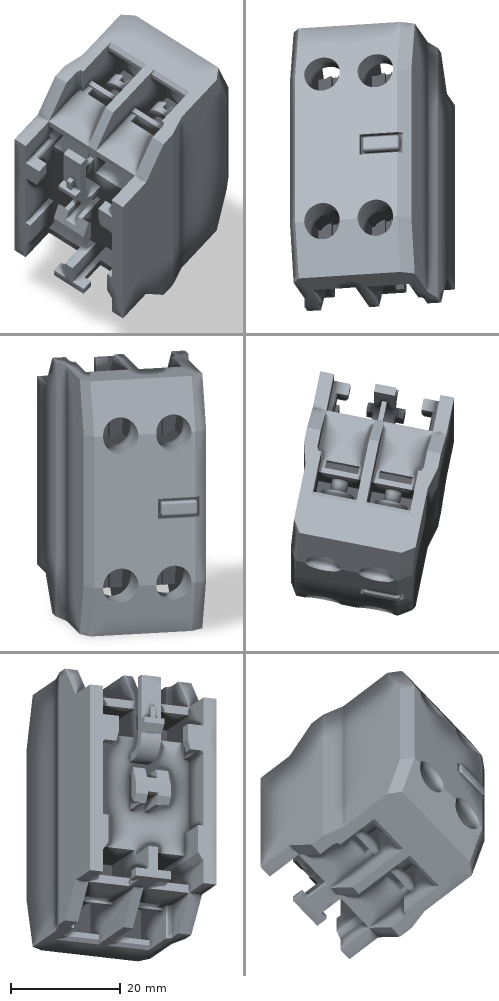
import cadquery as cq


WIDTH = 25.0
HEIGHT = 48.0
HALF_WIDTH = WIDTH / 2
HALF_HEIGHT = HEIGHT / 2
DEPTH = 34.95
BACK_HALF_WIDTH = 11.4
TAPER_START = 15.0
TAPER_END = 19.05
MOUNT_HALF_HEIGHT = 17.7
MOUNT_DEPTH = 6.95
SHOULDER_DEPTH = 12.2
BACK_SLOPE_DEPTH = 31.9
BACK_FLAT_HALF_HEIGHT = 14.2
LEFT_BEVEL_X = -9.05
LEFT_BEVEL_SLOPE = 3.2 / 4.9
RIGHT_BEVEL_X = 10.0
RIGHT_BEVEL_SLOPE = 4.9 / 3.0

INNER_HALF_WIDTH = 9.95
CHAMBER_HALF_WIDTH = 9.05
RIB_HALF_WIDTH = 0.9
SIDE_STEP_DEPTH = 16.15
SIDE_STEP_X = 9.6
SIDE_SLANT_DEPTH = 15.3
FLOOR_THICKNESS = 1.55
ROOM_BOTTOM = 10.75
PLATE_FRONT = 17.7
PLATE_BACK = 18.65
PLATE_TOP = 18.25
LIP_DEPTH = 23.65
LIP_BOTTOM = 22.3
LIP_SLOPE_BOTTOM = 23.35
LIP_SLOPE_DEPTH = 24.45
CHAMBER_DEPTH = 28.2
TERMINAL_X = (RIB_HALF_WIDTH + CHAMBER_HALF_WIDTH) / 2
TERMINAL_Z = 14.1
ACCESS_HOLE_RADIUS = 3.3

SCREW_HEAD_RADIUS = 3.05
SCREW_HEAD_HEIGHT = 2.45
SCREW_SHANK_RADIUS = 1.55
SCREW_SLOT_WIDTH = 1.2
SCREW_SLOT_DEPTH = 1.25

GUIDE_X = 8.9
GUIDE_INNER_Z = 11.9
GUIDE_SLOPE_END_Z = 13.45
LOWER_GUIDE_END_Z = 6.7
CLAW_TOP = 12.35
CLAW_BOTTOM = 7.55
CLAW_SLANT_Z = 9.35
CLAW_TIP_X = 6.8
CLAW_BOTTOM_X = 7.35
CLAW_CORNER = 0.4
HOOK_DEPTH = 2.2
STEM_HALF_WIDTH = 1.95
HEAD_HALF_WIDTH = 3.45

FOOT_RIB_TOP = -11.8

LEVER_FRONT = 1.0
LEVER_THICKNESS = 1.55
LEVER_TOP = 21.0
LEVER_BEND_RADIUS = 3.9
LEVER_BEND_Z = 9.75
LEDGE_FRONT = -0.55
LEDGE_TOP = 12.6
LEDGE_EDGE = 11.55
FIN_HALF_WIDTH = 0.455
FIN_TOP = 14.9
FIN_BOTTOM = 12.35

CARRIER_HALF_HEIGHT = 3.3
HEAD_FLAT_TOP = 0.4
HEAD_FLAT_BOTTOM = -1.95
HEAD_RIDGE_DEPTH = 1.35
HEAD_LOWER_RIDGE_DEPTH = 0.95
HEAD_BACK_HALF_HEIGHT = 2.15
NOTCH_HALF_WIDTH = 1.05
NOTCH_HALF_HEIGHT = 1.45
INDICATOR_LEFT = -9.4
INDICATOR_RIGHT = -2.6
INDICATOR_HALF_HEIGHT = 1.35
INDICATOR_TOP = 35.4
INDICATOR_ROUND = 0.5
WINDOW_GAP = 0.6
WINDOW_FLOOR = 33.6
ARM_FRONT = 30.7


def box(x0, x1, y0, y1, z0, z1):
    """Block between the given limits."""
    return cq.Workplane("XY").box(x1 - x0, y1 - y0, z1 - z0, centered=False).translate((x0, y0, z0))


def prism_x(points, x0, x1):
    """(Y, Z) outline extruded from x0 to x1."""
    return cq.Workplane("YZ").workplane(offset=x0).polyline(points).close().extrude(x1 - x0)


def prism_y(points, y0, y1):
    """(X, Z) outline extruded from y0 to y1."""
    return cq.Workplane("XZ").workplane(offset=-y0).polyline(points).close().extrude(y0 - y1)


def prism_z(points, z0, z1):
    """(X, Y) outline extruded from z0 to z1."""
    return cq.Workplane("XY").workplane(offset=z0).polyline(points).close().extrude(z1 - z0)


def cylinder_y(radius, y0, y1, x, z):
    """Cylinder along Y from y0 to y1."""
    return cq.Workplane("XZ", origin=(x, y0, z)).circle(radius).extrude(y0 - y1)


def left_and_right(shape):
    """The shape together with its mirror image in X."""
    return shape.union(shape.mirror("YZ"))


def four_fold(shape):
    """The shape at all four terminals."""
    both_sides = left_and_right(shape)
    return both_sides.union(both_sides.mirror("XY"))


def side_profile(drop):
    """(Y, Z) outline of the housing with its back moved forward by drop."""
    upper = [
        (0, MOUNT_HALF_HEIGHT),
        (MOUNT_DEPTH, MOUNT_HALF_HEIGHT),
        (SHOULDER_DEPTH, HALF_HEIGHT),
        (BACK_SLOPE_DEPTH - drop, HALF_HEIGHT),
        (DEPTH - drop, BACK_FLAT_HALF_HEIGHT),
    ]
    lower = [(y, -z) for y, z in reversed(upper)]
    return upper + lower


def bevelled_end(bevel_x, end_x, slope):
    """Outer part of the housing, where the back falls away from bevel_x to end_x."""
    reach = end_x - bevel_x
    return (
        cq.Workplane("YZ").workplane(offset=bevel_x).polyline(side_profile(0)).close()
        .workplane(offset=reach).polyline(side_profile(abs(reach) * slope)).close()
        .loft(ruled=True)
    )


def housing_blank():
    middle = prism_x(side_profile(0), LEFT_BEVEL_X, RIGHT_BEVEL_X)
    left_end = bevelled_end(LEFT_BEVEL_X, -HALF_WIDTH, LEFT_BEVEL_SLOPE)
    right_end = bevelled_end(RIGHT_BEVEL_X, HALF_WIDTH, RIGHT_BEVEL_SLOPE)
    right_plan = [
        (HALF_WIDTH, 0),
        (HALF_WIDTH, TAPER_START),
        (BACK_HALF_WIDTH, TAPER_END),
        (BACK_HALF_WIDTH, DEPTH),
    ]
    left_plan = [(-x, y) for x, y in reversed(right_plan)]
    plan = prism_z(right_plan + left_plan, -HALF_HEIGHT, HALF_HEIGHT)
    return middle.union(left_end).union(right_end).intersect(plan)


def mounting_channel():
    return box(-INNER_HALF_WIDTH, INNER_HALF_WIDTH, 0, MOUNT_DEPTH, -HALF_HEIGHT, HALF_HEIGHT)


def terminal_cavity():
    """Everything hollow at the upper right terminal."""
    screw_chamber = prism_x(
        [
            (0, HALF_HEIGHT),
            (0, MOUNT_HALF_HEIGHT),
            (PLATE_FRONT, MOUNT_HALF_HEIGHT),
            (PLATE_FRONT, PLATE_TOP),
            (PLATE_BACK, PLATE_TOP),
            (PLATE_BACK, ROOM_BOTTOM),
            (CHAMBER_DEPTH, ROOM_BOTTOM),
            (CHAMBER_DEPTH, LIP_BOTTOM),
            (LIP_DEPTH, LIP_BOTTOM),
            (LIP_DEPTH, LIP_SLOPE_BOTTOM),
            (LIP_SLOPE_DEPTH, HALF_HEIGHT),
        ],
        RIB_HALF_WIDTH,
        CHAMBER_HALF_WIDTH,
    )
    wide_mouth = prism_z(
        [
            (RIB_HALF_WIDTH, 0),
            (INNER_HALF_WIDTH, 0),
            (INNER_HALF_WIDTH, SIDE_SLANT_DEPTH),
            (SIDE_STEP_X, SIDE_STEP_DEPTH),
            (RIB_HALF_WIDTH, SIDE_STEP_DEPTH),
        ],
        MOUNT_HALF_HEIGHT,
        HALF_HEIGHT,
    )
    room_top = MOUNT_HALF_HEIGHT - FLOOR_THICKNESS
    wire_room = box(RIB_HALF_WIDTH, INNER_HALF_WIDTH, MOUNT_DEPTH, PLATE_FRONT, ROOM_BOTTOM, room_top)
    floor_slot = box(
        TERMINAL_X - SCREW_HEAD_RADIUS, TERMINAL_X + SCREW_HEAD_RADIUS,
        SIDE_STEP_DEPTH, PLATE_FRONT, ROOM_BOTTOM, MOUNT_HALF_HEIGHT,
    )
    access_hole = cylinder_y(ACCESS_HOLE_RADIUS, CHAMBER_DEPTH, DEPTH, TERMINAL_X, TERMINAL_Z)
    return screw_chamber.union(wide_mouth).union(wire_room).union(floor_slot).union(access_hole)


def side_guides():
    """Guide ribs and snap claws on the inside of both side walls."""
    upper_rib = prism_y(
        [
            (INNER_HALF_WIDTH, GUIDE_SLOPE_END_Z),
            (GUIDE_X, GUIDE_INNER_Z),
            (GUIDE_X, CLAW_BOTTOM),
            (INNER_HALF_WIDTH - CLAW_CORNER, CLAW_BOTTOM),
            (INNER_HALF_WIDTH, CLAW_BOTTOM - CLAW_CORNER),
        ],
        0,
        PLATE_FRONT,
    ).cut(box(0, INNER_HALF_WIDTH, 0, MOUNT_DEPTH, CLAW_TOP, HALF_HEIGHT))
    lower_rib = prism_y(
        [
            (INNER_HALF_WIDTH, -LOWER_GUIDE_END_Z),
            (GUIDE_X, -LOWER_GUIDE_END_Z),
            (GUIDE_X, -GUIDE_INNER_Z),
            (INNER_HALF_WIDTH, -GUIDE_SLOPE_END_Z),
        ],
        0,
        PLATE_FRONT,
    )
    claw = prism_y(
        [
            (INNER_HALF_WIDTH, CLAW_TOP),
            (CLAW_TIP_X, CLAW_TOP),
            (CLAW_TIP_X, CLAW_SLANT_Z),
            (CLAW_BOTTOM_X, CLAW_BOTTOM),
            (INNER_HALF_WIDTH, CLAW_BOTTOM),
        ],
        0,
        HOOK_DEPTH,
    )
    return left_and_right(upper_rib.union(lower_rib).union(claw))


def foot():
    """T-shaped foot below the mounting channel, with its upright rib."""
    foot_bottom = -MOUNT_HALF_HEIGHT
    foot_top = foot_bottom + FLOOR_THICKNESS
    head = box(-HEAD_HALF_WIDTH, HEAD_HALF_WIDTH, 0, HOOK_DEPTH, foot_bottom, foot_top)
    neck = box(-STEM_HALF_WIDTH, STEM_HALF_WIDTH, 0, MOUNT_DEPTH, foot_bottom, foot_top)
    rib = box(-RIB_HALF_WIDTH, RIB_HALF_WIDTH, 0, MOUNT_DEPTH, foot_top, FOOT_RIB_TOP)
    return head.union(neck).union(rib)


def spring_lever():
    """Release lever, bent round below into a spring arm that grows out of the housing."""
    lever_back = LEVER_FRONT + LEVER_THICKNESS
    bend_y = LEVER_FRONT + LEVER_BEND_RADIUS
    arm_bottom = LEVER_BEND_Z - LEVER_BEND_RADIUS
    strip = (
        cq.Workplane("YZ").workplane(offset=-STEM_HALF_WIDTH)
        .moveTo(LEVER_FRONT, LEVER_TOP)
        .lineTo(LEVER_FRONT, LEVER_BEND_Z)
        .radiusArc((bend_y, arm_bottom), -LEVER_BEND_RADIUS)
        .lineTo(MOUNT_DEPTH, arm_bottom)
        .lineTo(MOUNT_DEPTH, arm_bottom + LEVER_THICKNESS)
        .lineTo(bend_y, arm_bottom + LEVER_THICKNESS)
        .radiusArc((lever_back, LEVER_BEND_Z), LEVER_BEND_RADIUS - LEVER_THICKNESS)
        .lineTo(lever_back, LEVER_TOP)
        .close()
        .extrude(2 * STEM_HALF_WIDTH)
    )
    ledge_overhang = LEVER_FRONT - LEDGE_FRONT
    ledge = prism_x(
        [
            (LEVER_FRONT, LEDGE_TOP),
            (LEDGE_FRONT, LEDGE_TOP),
            (LEDGE_FRONT, LEDGE_EDGE),
            (LEVER_FRONT, LEDGE_EDGE - ledge_overhang),
        ],
        -STEM_HALF_WIDTH,
        STEM_HALF_WIDTH,
    )
    front_fin = box(-FIN_HALF_WIDTH, FIN_HALF_WIDTH, 0, LEVER_FRONT, LEDGE_TOP, FIN_TOP)
    back_fin = box(-FIN_HALF_WIDTH, FIN_HALF_WIDTH, lever_back, MOUNT_DEPTH, FIN_BOTTOM, FIN_TOP)
    return strip.union(ledge).union(front_fin).union(back_fin)


def indicator_window():
    half_height = INDICATOR_HALF_HEIGHT + WINDOW_GAP
    return box(
        INDICATOR_LEFT - WINDOW_GAP, INDICATOR_RIGHT + WINDOW_GAP,
        WINDOW_FLOOR, DEPTH, -half_height, half_height,
    )


def make_carrier():
    """Sliding carrier: coupling head in front, stem through the housing, indicator at the back."""
    head = prism_x(
        [
            (0, HEAD_FLAT_TOP),
            (HEAD_RIDGE_DEPTH, CARRIER_HALF_HEIGHT),
            (HOOK_DEPTH, HEAD_BACK_HALF_HEIGHT),
            (HOOK_DEPTH, -HEAD_BACK_HALF_HEIGHT),
            (HEAD_LOWER_RIDGE_DEPTH, -CARRIER_HALF_HEIGHT),
            (0, HEAD_FLAT_BOTTOM),
        ],
        -HEAD_HALF_WIDTH,
        HEAD_HALF_WIDTH,
    )
    flanges = box(
        -STEM_HALF_WIDTH, STEM_HALF_WIDTH,
        HEAD_RIDGE_DEPTH, MOUNT_DEPTH, -CARRIER_HALF_HEIGHT, CARRIER_HALF_HEIGHT,
    )
    notch = box(
        -NOTCH_HALF_WIDTH, NOTCH_HALF_WIDTH,
        0, MOUNT_DEPTH, NOTCH_HALF_HEIGHT, CARRIER_HALF_HEIGHT,
    )
    coupling = head.union(flanges).cut(notch).cut(notch.mirror("XY"))
    stem = box(
        -STEM_HALF_WIDTH, STEM_HALF_WIDTH,
        MOUNT_DEPTH, WINDOW_FLOOR, -INDICATOR_HALF_HEIGHT, INDICATOR_HALF_HEIGHT,
    )
    arm = box(
        INDICATOR_LEFT, -STEM_HALF_WIDTH,
        ARM_FRONT, WINDOW_FLOOR, -INDICATOR_HALF_HEIGHT, INDICATOR_HALF_HEIGHT,
    )
    indicator = (
        box(
            INDICATOR_LEFT, INDICATOR_RIGHT,
            WINDOW_FLOOR, INDICATOR_TOP, -INDICATOR_HALF_HEIGHT, INDICATOR_HALF_HEIGHT,
        )
        .edges("|Y or >Y").fillet(INDICATOR_ROUND)
    )
    return coupling.union(stem).union(arm).union(indicator)


def make_screw(x, z):
    """Slotted terminal screw standing on its terminal plate."""
    head_bottom = LIP_DEPTH - SCREW_HEAD_HEIGHT
    shank = cylinder_y(SCREW_SHANK_RADIUS, PLATE_BACK, head_bottom, x, z)
    head = cylinder_y(SCREW_HEAD_RADIUS, head_bottom, LIP_DEPTH, x, z)
    slot = box(
        x - SCREW_SLOT_WIDTH / 2, x + SCREW_SLOT_WIDTH / 2,
        LIP_DEPTH - SCREW_SLOT_DEPTH, LIP_DEPTH, z - SCREW_HEAD_RADIUS, z + SCREW_HEAD_RADIUS,
    )
    return shank.union(head).cut(slot)


def make_housing(carrier):
    housing = housing_blank().cut(mounting_channel()).cut(four_fold(terminal_cavity()))
    housing = housing.union(side_guides()).union(foot()).union(spring_lever())
    return housing.cut(indicator_window()).cut(carrier)


carrier = make_carrier()
housing = make_housing(carrier)
screws = [make_screw(x, z) for x in (-TERMINAL_X, TERMINAL_X) for z in (-TERMINAL_Z, TERMINAL_Z)]

result = cq.Compound.makeCompound([housing.val(), carrier.val(), *[screw.val() for screw in screws]])